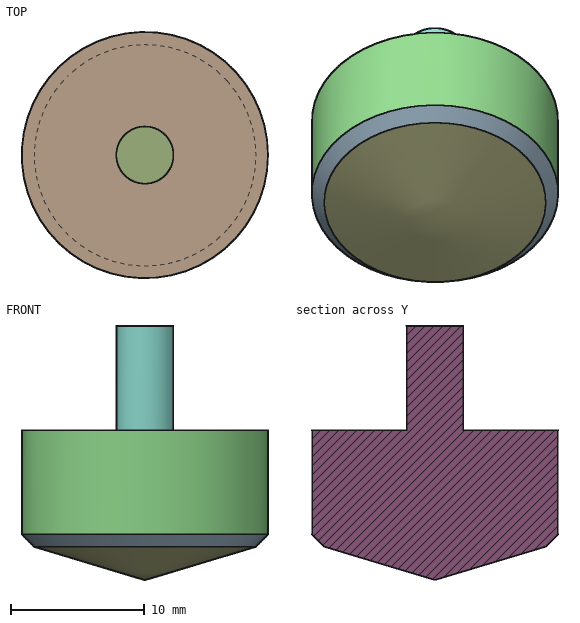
import cadquery as cq

total_height = 19.1
body_diameter = 18.5
pin_diameter = 4.3
pin_length = 7.83
chamfer_size = 0.94
tip_height = 2.5

body_radius = body_diameter / 2
pin_radius = pin_diameter / 2

chamfer_top = tip_height + chamfer_size
body_top = total_height - pin_length

half_section = (
    cq.Workplane("XZ")
    .lineTo(body_radius - chamfer_size, tip_height)
    .lineTo(body_radius, chamfer_top)
    .lineTo(body_radius, body_top)
    .lineTo(pin_radius, body_top)
    .lineTo(pin_radius, total_height)
    .lineTo(0, total_height)
    .close()
)

result = half_section.revolve(360, (0, 0, 0), (0, 1, 0))